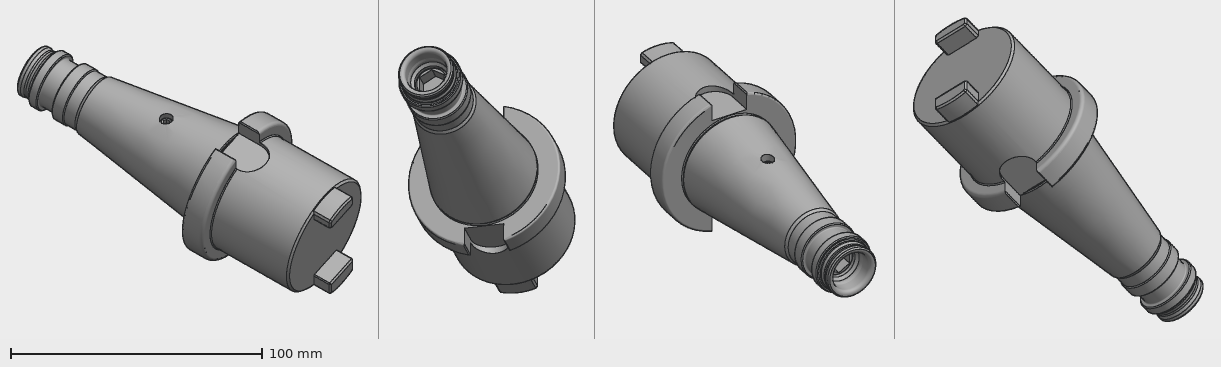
import cadquery as cq
import math


length = 151.4

rear_radius = 11.2
rear_chamfer = 0.6
rear_groove_radius = 10.7
rear_groove_start = 2.0
rear_groove_floor_start = 3.3
rear_groove_floor_end = 4.2
rear_groove_end = 5.6

collar_radius = 12.7
collar_chamfer = 0.5
collar_foot_chamfer = 0.5
rear_collar_start = 6.8
rear_collar_end = 11.0
front_collar_start = 18.2
front_collar_end = 24.0
neck_radius = 10.7
neck_fillet = 0.5
waist_radius = 12.3
waist_end = 29.4

taper_start = 30.7
taper_end = 93.7
taper_end_radius = 22.3
taper_start_radius = taper_end_radius - (taper_end - taper_start) * 7 / 48
undercut_depth = 0.5
undercut_radius = taper_end_radius - undercut_depth

flange_start = 95.1
flange_end = 105.2
flange_radius = 62.5 / 2
flange_rear_fillet = 0.9
flange_front_fillet = 1.5
slot_width = 16.0
slot_floor_height = 22.5
slot_end = 114.0
slot_edge_chamfer = 0.6

front_radius = 25.5
front_end = 143.2
front_chamfer = 0.9
front_base_fillet = 0.5

key_radius = 25.1
key_width = 15.9
key_chamfer = 0.8
keys = [(1, 18.8, 0.9), (-1, 17.0, 0.5)]

mouth_radius = 10.1
bore_radius = 8.5
bore_end = 5.9
thread_entry_radius = 8.2
thread_entry_start = 7.1
thread_entry_end = 8.5
core_radius = 7.0
core_start = 9.7

plug_start = 10.6
plug_length = 12.1
plug_end = plug_start + plug_length
plug_chamfer = 0.8
plug_socket_width = 10.0
plug_socket_depth = 6.0

set_screw_x = 65.4
set_screw_radius = 2.7
set_screw_top = 15.7
set_screw_length = 6.0
set_screw_chamfer = 0.8
set_screw_socket_width = 2.4
set_screw_socket_depth = 2.3


def fillet_point(center_x, center_r, radius, angle):
    """Point of a fillet arc in the revolved profile, at an angle in degrees from +X."""
    turn = math.radians(angle)
    return (center_x + radius * math.cos(turn), center_r + radius * math.sin(turn))


def shank_blank():
    """Revolved outside of the adaptor: pilot, taper, flange and front cylinder."""
    rear_round = (flange_start + flange_rear_fillet, flange_radius - flange_rear_fillet)
    front_round = (flange_end - flange_front_fillet, flange_radius - flange_front_fillet)
    base_round = (flange_end + front_base_fillet, front_radius + front_base_fillet)
    neck_rear_round = (rear_collar_end + neck_fillet, neck_radius + neck_fillet)
    neck_front_round = (front_collar_start - neck_fillet, neck_radius + neck_fillet)
    return (
        cq.Workplane("XZ")
        .moveTo(0, 0)
        .lineTo(0, rear_radius - rear_chamfer)
        .lineTo(rear_chamfer, rear_radius)
        .lineTo(rear_groove_start, rear_radius)
        .lineTo(rear_groove_floor_start, rear_groove_radius)
        .lineTo(rear_groove_floor_end, rear_groove_radius)
        .lineTo(rear_groove_end, rear_radius)
        .lineTo(rear_collar_start - collar_foot_chamfer, rear_radius)
        .lineTo(rear_collar_start, rear_radius + collar_foot_chamfer)
        .lineTo(rear_collar_start, collar_radius - collar_chamfer)
        .lineTo(rear_collar_start + collar_chamfer, collar_radius)
        .lineTo(rear_collar_end - collar_chamfer, collar_radius)
        .lineTo(rear_collar_end, collar_radius - collar_chamfer)
        .lineTo(rear_collar_end, neck_radius + neck_fillet)
        .threePointArc(
            fillet_point(*neck_rear_round, neck_fillet, 225),
            (rear_collar_end + neck_fillet, neck_radius),
        )
        .lineTo(front_collar_start - neck_fillet, neck_radius)
        .threePointArc(
            fillet_point(*neck_front_round, neck_fillet, 315),
            (front_collar_start, neck_radius + neck_fillet),
        )
        .lineTo(front_collar_start, collar_radius - collar_chamfer)
        .lineTo(front_collar_start + collar_chamfer, collar_radius)
        .lineTo(front_collar_end - collar_chamfer, collar_radius)
        .lineTo(front_collar_end, waist_radius)
        .lineTo(waist_end, waist_radius)
        .lineTo(taper_start, taper_start_radius)
        .lineTo(taper_end, taper_end_radius)
        .lineTo(taper_end + undercut_depth, undercut_radius)
        .lineTo(flange_start - undercut_depth, undercut_radius)
        .lineTo(flange_start, taper_end_radius)
        .lineTo(flange_start, flange_radius - flange_rear_fillet)
        .threePointArc(
            fillet_point(*rear_round, flange_rear_fillet, 135),
            (flange_start + flange_rear_fillet, flange_radius),
        )
        .lineTo(flange_end - flange_front_fillet, flange_radius)
        .threePointArc(
            fillet_point(*front_round, flange_front_fillet, 45),
            (flange_end, flange_radius - flange_front_fillet),
        )
        .lineTo(flange_end, front_radius + front_base_fillet)
        .threePointArc(
            fillet_point(*base_round, front_base_fillet, 225),
            (flange_end + front_base_fillet, front_radius),
        )
        .lineTo(front_end - front_chamfer, front_radius)
        .lineTo(front_end, front_radius - front_chamfer)
        .lineTo(front_end, 0)
        .close()
        .revolve(360, (0, 0), (1, 0))
    )


def driving_slot(side):
    """Cutter for a round-ended slot above (side 1) or below (side -1) the axis."""
    half_width = slot_width / 2
    arc_center = slot_end - half_width
    return (
        cq.Workplane("XY", origin=(0, 0, side * slot_floor_height))
        .moveTo(flange_start, -half_width)
        .lineTo(arc_center, -half_width)
        .threePointArc((slot_end, 0), (arc_center, half_width))
        .lineTo(flange_start, half_width)
        .close()
        .extrude(side * flange_radius)
    )


def slot_edge_cutter(side):
    """Cutter that chamfers both outer edges of a driving slot where it crosses the flange."""
    half_width = slot_width / 2
    edge_height = math.sqrt(flange_radius**2 - half_width**2)
    bottom = edge_height - slot_edge_chamfer
    rise = flange_radius - bottom
    return (
        cq.Workplane("YZ", origin=(flange_start, 0, 0))
        .moveTo(-half_width, side * bottom)
        .lineTo(half_width, side * bottom)
        .lineTo(half_width + rise, side * flange_radius)
        .lineTo(-half_width - rise, side * flange_radius)
        .close()
        .extrude(flange_end - flange_start)
    )


def drive_key(side, inner_height, inner_chamfer):
    """Drive key on the front face, with an outer face concentric with the front cylinder."""
    root = front_end - front_chamfer
    key = (
        cq.Workplane("YZ", origin=(root, 0, 0))
        .circle(key_radius)
        .extrude(length - root)
    )
    slab = (
        cq.Workplane("XY", origin=(0, 0, side * inner_height))
        .rect(3 * length, key_width)
        .extrude(side * key_radius)
    )
    key = key.intersect(slab)
    outer = ">Z" if side > 0 else "<Z"
    inner = "<Z" if side > 0 else ">Z"
    key = key.faces(outer).edges("|X").chamfer(key_chamfer)
    key = key.faces(inner).edges("|X").chamfer(inner_chamfer)
    return key.faces(">X").edges().chamfer(key_chamfer)


def rear_bore():
    """Cutter for the bore: flared mouth, counterbore, thread entry and core."""
    flare_length = mouth_radius - bore_radius
    flare_middle = fillet_point(flare_length, mouth_radius, flare_length, 225)
    return (
        cq.Workplane("XZ")
        .moveTo(0, 0)
        .lineTo(0, mouth_radius)
        .threePointArc(flare_middle, (flare_length, bore_radius))
        .lineTo(bore_end, bore_radius)
        .lineTo(thread_entry_start, thread_entry_radius)
        .lineTo(thread_entry_end, thread_entry_radius)
        .lineTo(core_start, core_radius)
        .lineTo(plug_end, core_radius)
        .lineTo(plug_end, 0)
        .close()
        .revolve(360, (0, 0), (1, 0))
    )


def set_screw_hole():
    """Cutter for the radial hole, from the foot of the set screw out through the taper."""
    return (
        cq.Workplane("XY", origin=(set_screw_x, 0, set_screw_top - set_screw_length))
        .circle(set_screw_radius)
        .extrude(taper_end_radius)
    )


def make_adaptor():
    adaptor = shank_blank()
    for side in (1, -1):
        adaptor = adaptor.cut(driving_slot(side)).cut(slot_edge_cutter(side))
    for side, inner_height, inner_chamfer in keys:
        adaptor = adaptor.union(drive_key(side, inner_height, inner_chamfer))
    return adaptor.cut(rear_bore()).cut(set_screw_hole())


def socket_screw(plane, radius, screw_length, chamfer, socket_width, socket_depth):
    """Headless screw with a hexagon socket, running back from its socket end at the plane."""
    socket_diameter = 2 * socket_width / math.sqrt(3)
    blank = cq.Workplane(plane).circle(radius).extrude(-screw_length)
    blank = blank.faces(cq.selectors.DirectionMinMaxSelector(plane.zDir)).chamfer(chamfer)
    socket = cq.Workplane(plane).polygon(6, socket_diameter).extrude(-socket_depth)
    return blank.cut(socket)


def make_plug_screw():
    plane = cq.Plane(origin=(plug_start, 0, 0), xDir=(0, 0, 1), normal=(-1, 0, 0))
    return socket_screw(
        plane, core_radius, plug_length, plug_chamfer, plug_socket_width, plug_socket_depth
    )


def make_set_screw():
    plane = cq.Plane(origin=(set_screw_x, 0, set_screw_top), xDir=(1, 0, 0), normal=(0, 0, 1))
    return socket_screw(
        plane,
        set_screw_radius,
        set_screw_length,
        set_screw_chamfer,
        set_screw_socket_width,
        set_screw_socket_depth,
    )


adaptor = make_adaptor()
plug_screw = make_plug_screw()
set_screw = make_set_screw()

result = cq.Compound.makeCompound([adaptor.val(), plug_screw.val(), set_screw.val()])